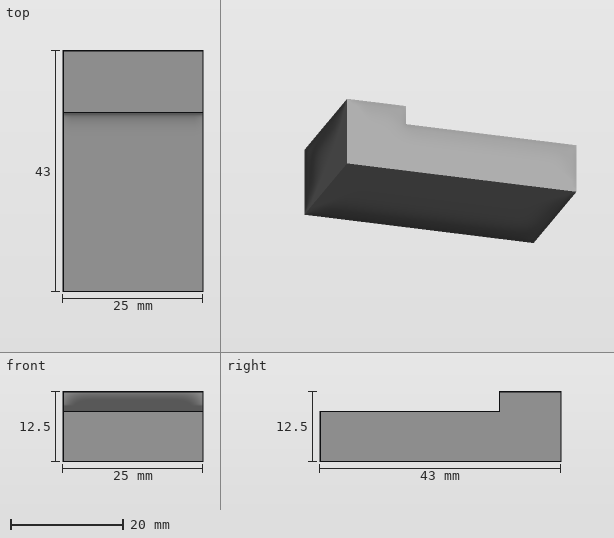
import cadquery as cq

width = 25.0
length = 43.0
height = 12.5

step_length = 11.0
step_rise = 3.5

base_height = height - step_rise
step_front = length - step_length


def stepped_profile():
    """Closed L-shaped side outline in the YZ plane."""
    return (
        cq.Workplane("YZ")
        .moveTo(0, 0)
        .lineTo(length, 0)
        .lineTo(length, height)
        .lineTo(step_front, height)
        .lineTo(step_front, base_height)
        .lineTo(0, base_height)
        .close()
    )


result = stepped_profile().extrude(width)